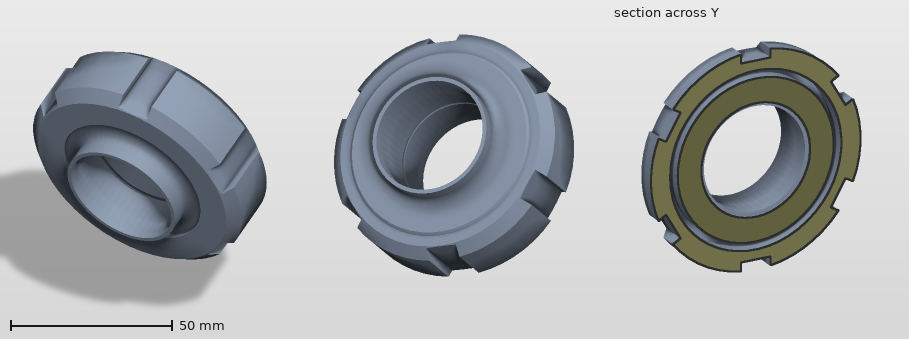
import cadquery as cq
import math


total_length = 39.0
bore_radius = 35.5 / 2
tube_radius = 38.0 / 2
neck_radius = 4.0

nut_radius = 36.9
nut_front = 6.9
nut_back = 30.1
nut_chamfer = 3.55
nut_lip_thickness = 4.0
nut_lip_radius = 48.5 / 2
nut_lip_back = nut_front + nut_lip_thickness
slot_count = 6
slot_width = 10.0
slot_floor = 33.5

liner_neck_start = 5.1
liner_neck_radius = 3.0
liner_shoulder = liner_neck_start + liner_neck_radius
liner_hub_radius = 48.0 / 2
liner_flange_radius = 55.0 / 2
groove_width = 1.5
groove_radius = tube_radius
joint = 17.3

male_radius = 60.0 / 2
male_chamfer = 0.9
male_back = nut_back + male_chamfer


def revolve_about_y(profile):
    """Turn a closed (radius, y) profile in the XY plane around the Y axis."""
    return profile.close().revolve(360, (0, 0, 0), (0, 1, 0))


def arc_middle(center, radius, angle):
    """Point on a circle at the given angle in degrees."""
    turn = math.radians(angle)
    return (center[0] + radius * math.cos(turn), center[1] + radius * math.sin(turn))


def make_nut():
    body = revolve_about_y(
        cq.Workplane("XY")
        .moveTo(nut_lip_radius, nut_front)
        .lineTo(nut_radius - nut_chamfer, nut_front)
        .lineTo(nut_radius, nut_front + nut_chamfer)
        .lineTo(nut_radius, nut_back - nut_chamfer)
        .lineTo(nut_radius - nut_chamfer, nut_back)
        .lineTo(male_radius, nut_back)
        .lineTo(male_radius, nut_lip_back)
        .lineTo(nut_lip_radius, nut_lip_back)
    )
    slot = cq.Workplane("XY").box(
        slot_width, total_length, nut_radius, centered=(True, False, False)
    ).translate((0, 0, slot_floor))
    for index in range(slot_count):
        angle = index * 360 / slot_count
        body = body.cut(slot.rotate((0, 0, 0), (0, 1, 0), angle))
    return body


def make_liner():
    neck_center = (tube_radius + liner_neck_radius, liner_neck_start)
    return revolve_about_y(
        cq.Workplane("XY")
        .moveTo(bore_radius, 0)
        .lineTo(tube_radius, 0)
        .lineTo(tube_radius, liner_neck_start)
        .threePointArc(
            arc_middle(neck_center, liner_neck_radius, 135),
            (tube_radius + liner_neck_radius, liner_shoulder),
        )
        .lineTo(liner_hub_radius, liner_shoulder)
        .lineTo(liner_hub_radius, nut_lip_back)
        .lineTo(liner_flange_radius, nut_lip_back)
        .lineTo(liner_flange_radius, joint)
        .lineTo(groove_radius, joint)
        .lineTo(groove_radius, joint - groove_width)
        .lineTo(bore_radius, joint - groove_width)
    )


def make_male_part():
    neck_center = (tube_radius + neck_radius, male_back + neck_radius)
    return revolve_about_y(
        cq.Workplane("XY")
        .moveTo(bore_radius, joint)
        .lineTo(male_radius, joint)
        .lineTo(male_radius, male_back - male_chamfer)
        .lineTo(male_radius - male_chamfer, male_back)
        .lineTo(tube_radius + neck_radius, male_back)
        .threePointArc(
            arc_middle(neck_center, neck_radius, 225),
            (tube_radius, male_back + neck_radius),
        )
        .lineTo(tube_radius, total_length)
        .lineTo(bore_radius, total_length)
    )


nut = make_nut()
liner = make_liner()
male_part = make_male_part()

result = cq.Compound.makeCompound([nut.val(), liner.val(), male_part.val()])